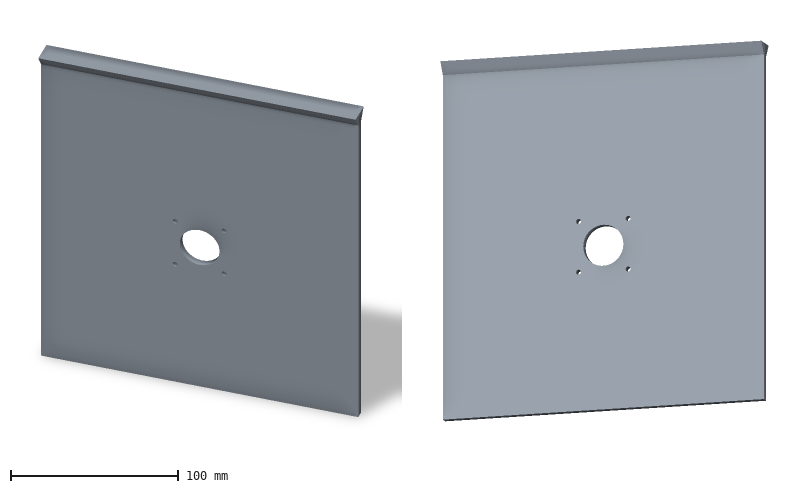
import cadquery as cq

width = 200.0
total_height = 217.5

rail_depth = 15.0
rail_height = 7.5

plate_thickness = 5.0
plate_height = total_height - rail_height

opening_diameter = 25.0
opening_center_z = 100.0
screw_hole_diameter = 3.0
screw_spacing = 30.9


def make_plate():
    """Upright plate with the round opening and four screw holes passing through it."""
    plate = cq.Workplane("XY").box(width, plate_thickness, plate_height, centered=(True, True, False))
    opening_plane = cq.Workplane("XZ", origin=(0, 0, opening_center_z))
    cut_depth = plate_thickness / 2
    opening = opening_plane.circle(opening_diameter / 2).extrude(cut_depth, both=True)
    screw_holes = (
        opening_plane.rect(screw_spacing, screw_spacing, forConstruction=True)
        .vertices()
        .circle(screw_hole_diameter / 2)
        .extrude(cut_depth, both=True)
    )
    return plate.cut(opening).cut(screw_holes).solids()


def make_rail():
    """Rail of trapezoid section, as thick as the plate at its foot and wider at the top."""
    section = [
        (-plate_thickness / 2, plate_height),
        (plate_thickness / 2, plate_height),
        (rail_depth / 2, total_height),
        (-rail_depth / 2, total_height),
    ]
    return cq.Workplane("YZ").polyline(section).close().extrude(width / 2, both=True).solids()


plate = make_plate()
rail = make_rail()

result = cq.Compound.makeCompound([plate.val(), rail.val()])